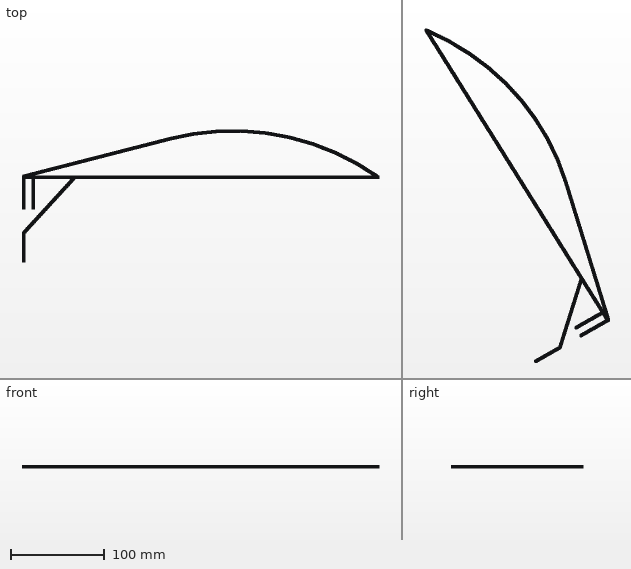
import cadquery as cq
import math

wire_diameter = 1.5
wire_radius = wire_diameter / 2
spar_length = 378.8
frame_bottom = -89.8

leg_end = -33.7
first_leg_x = wire_radius
second_leg_x = 11.0

brace_top_x = 55.3
brace_bend = (wire_radius, -59.5)

bow_base_y = 0.8
bow_start = (wire_radius, bow_base_y)
bow_peak = (223.5, 49.2)
bow_radius = 268.0


def sweep_wire(path, start, direction):
    """Sweep the round wire section along a path from its start point."""
    section = cq.Plane(origin=(*start, 0), xDir=(0, 0, 1), normal=(*direction, 0))
    return cq.Workplane(section).circle(wire_radius).sweep(path, transition="round")


def straight_wire(start, end):
    """Make a straight wire between two points."""
    direction = (end[0] - start[0], end[1] - start[1])
    path = cq.Workplane("XY").moveTo(*start).lineTo(*end)
    return sweep_wire(path, start, direction)


def make_brace():
    """Make the bent wire with a rounded elbow."""
    top = (brace_top_x, 0)
    direction = (brace_bend[0] - top[0], brace_bend[1] - top[1])
    path = cq.Workplane("XY").moveTo(*top).lineTo(*brace_bend).lineTo(brace_bend[0], frame_bottom)
    return sweep_wire(path, top, direction)


def make_bow():
    """Make the upper wire, with its arc ending just over the spar."""
    center_x = bow_peak[0]
    center_y = bow_peak[1] - bow_radius
    run = center_x - bow_start[0]
    drop = bow_start[1] - center_y
    center_distance = math.hypot(run, drop)
    slope = math.asin(bow_radius / center_distance) - math.atan2(drop, run)
    tangent_point = (
        center_x - bow_radius * math.sin(slope),
        center_y + bow_radius * math.cos(slope),
    )
    arc_end = (center_x + math.sqrt(bow_radius**2 - (bow_base_y - center_y) ** 2), bow_base_y)
    path = (
        cq.Workplane("XY")
        .moveTo(*bow_start)
        .lineTo(*tangent_point)
        .threePointArc(bow_peak, arc_end)
    )
    return sweep_wire(path, bow_start, (math.cos(slope), math.sin(slope)))


result = straight_wire((0, 0), (spar_length, 0))
for leg_x in (first_leg_x, second_leg_x):
    result = result.union(straight_wire((leg_x, 0), (leg_x, leg_end)))
result = result.union(make_brace()).union(make_bow())